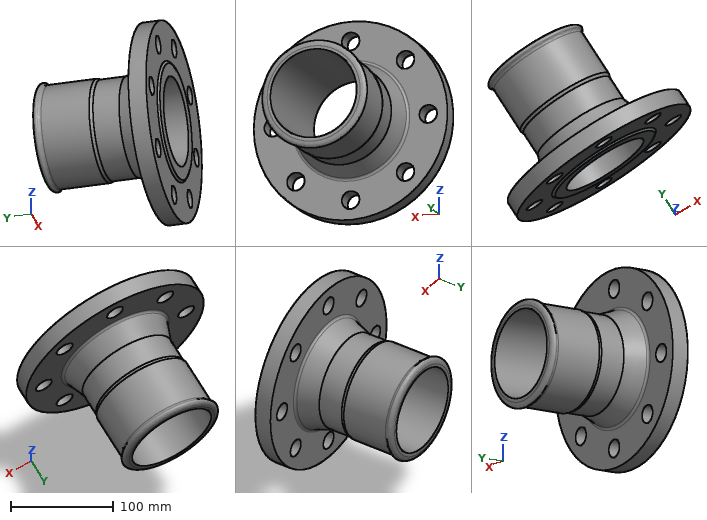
import cadquery as cq
import math

total_length = 131.0
bore_radius = 44.5

flange_radius = 100.0
flange_thickness = 18.0
raised_face_height = 2.0
raised_face_outer_radius = 60.0
raised_face_inner_radius = 57.5
flange_back = raised_face_height + flange_thickness

bolt_hole_count = 8
bolt_hole_diameter = 18.0
bolt_circle_radius = 80.0

neck_radius = 50.2
hub_top = 43.5
hub_base_radius = 58.7
hub_fillet_radius = 3.0

socket_radius = 51.5
taper_start = 70.0
taper_end = 73.5

bead_radius = 53.7
bead_length = 8.5
bead_crest_depth = 4.8
bead_end_radius = 48.0
bead_start = total_length - bead_length
bead_crest = total_length - bead_crest_depth


def make_body():
    """Revolve the half section (radius, Y) about the Y axis."""
    along_axis = (0, 1)
    toward_axis = (-1, 0)
    section = (
        cq.Workplane("XY")
        .moveTo(bore_radius, 0)
        .lineTo(raised_face_inner_radius, 0)
        .lineTo(raised_face_outer_radius, raised_face_height)
        .lineTo(flange_radius, raised_face_height)
        .lineTo(flange_radius, flange_back)
        .lineTo(hub_base_radius, flange_back)
        .lineTo(neck_radius, hub_top)
        .lineTo(neck_radius, taper_start)
        .lineTo(socket_radius, taper_end)
        .lineTo(socket_radius, bead_start)
        .spline(
            [(bead_radius, bead_crest), (bead_end_radius, total_length)],
            tangents=[along_axis, toward_axis],
            includeCurrent=True,
        )
        .lineTo(bore_radius, total_length)
        .close()
    )
    return section.revolve(360, (0, 0, 0), (0, 1, 0))


def round_hub_root(body):
    """Blend the cone into the back of the flange."""
    reach = hub_base_radius + hub_fillet_radius
    root_zone = cq.selectors.BoxSelector(
        (-reach, flange_back - hub_fillet_radius, -reach),
        (reach, flange_back + hub_fillet_radius, reach),
        boundingbox=True,
    )
    return body.edges(root_zone).fillet(hub_fillet_radius)


def drill_bolt_holes(body):
    """Cut the through holes on the bolt circle, the first one on +X."""
    for index in range(bolt_hole_count):
        angle = 2 * math.pi * index / bolt_hole_count
        hole = (
            cq.Workplane("XZ")
            .center(bolt_circle_radius * math.cos(angle), bolt_circle_radius * math.sin(angle))
            .circle(bolt_hole_diameter / 2)
            .extrude(-flange_back)
        )
        body = body.cut(hole)
    return body


result = drill_bolt_holes(round_hub_root(make_body()))